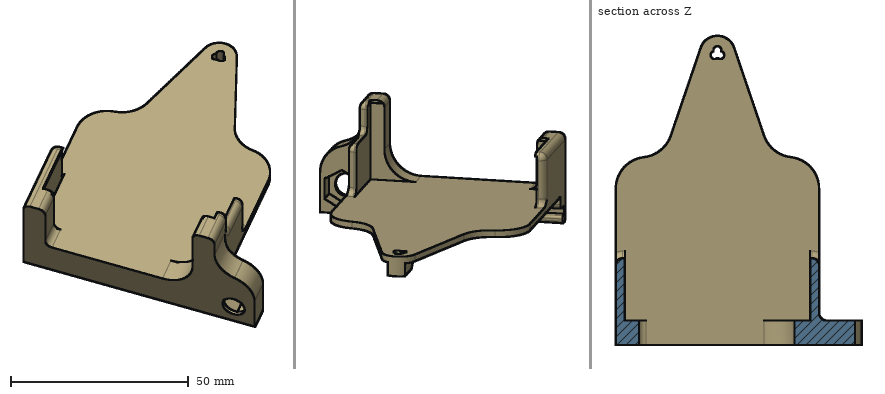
import cadquery as cq
import math

LENGTH = 69.3
DEPTH = 87.08
TALL_TOP = 33.8

TRAY_WIDTH = 57.3
FLOOR_Z = 10.5
PLATE_THICKNESS = 2.0
PLATE_BOTTOM = FLOOR_Z - PLATE_THICKNESS
CENTRE_X = TRAY_WIDTH / 2
TIP_RADIUS = 5.0
TIP_Y = DEPTH - TIP_RADIUS
TAPER_ANGLE = math.radians(18.8)
SHOULDER_Y = 44.0
SHOULDER_RADIUS = 9.0

LOBE_COUNT = 3
LOBE_RADIUS = 1.1
LOBE_OFFSET = 0.9
BOSS_WIDTH = 5.0
LEDGE_Z = 4.7
BOSS_RAMP_Y = 74.2

FRONT_DEPTH = 7.0
POST_WIDTH = 6.6
EDGE_RADIUS = 2.0
LOW_TOP = 25.7
TALL_INNER_RADIUS = 9.0

EAR_CURVE_RADIUS = 8.0
EAR_SIDE_TOP = 11.8
EAR_HOLE_DIAMETER = 6.6
EAR_HOLE_X = 63.0
EAR_HOLE_Z = 6.9
NUT_SIDES = 6
NUT_ACROSS_FLATS = 10.0
NUT_SEAT_Y = 1.2
EAR_BOTTOM_RADIUS = 2.3

RAIL_DEPTH = 6.1
RAIL_RADIUS = 1.5
WEB_DEPTH = 1.95
HOOK_DEPTH = 3.8
HOOK_ROOT_Z = 2.5
HOOK_TIP_Z = 2.1
HOOK_RADIUS = 0.8
FRONT_EDGE_RADIUS = 1.0

WALL_BACK = 24.5
TALL_WALL_BACK = 11.0
RIGHT_LOW_TOP = 24.9
LEFT_LIP_THICKNESS = 3.15
RIGHT_LIP_THICKNESS = 2.8
POCKET_WALL = 2.6
LIP_HEIGHT = 0.9
LIP_OVERHANG = 0.5


def block(x0, x1, y0, y1, z0, z1):
    """Box between two opposite corners."""
    return cq.Workplane("XY").box(x1 - x0, y1 - y0, z1 - z0, centered=False).translate((x0, y0, z0))


def on_circle(centre, radius, angle):
    """Point on a circle at an angle in radians."""
    return (centre[0] + radius * math.cos(angle), centre[1] + radius * math.sin(angle))


def mirrored(point):
    """Mirror a plan point across the tray's centre line."""
    return (TRAY_WIDTH - point[0], point[1])


def make_plate():
    """Floor plate: straight sides, S-shaped shoulders and a tapered neck with a round tip."""
    normal_angle = math.pi - TAPER_ANGLE
    normal = (math.cos(normal_angle), math.sin(normal_angle))
    down = (-math.sin(TAPER_ANGLE), -math.cos(TAPER_ANGLE))
    tip_tangent = on_circle((CENTRE_X, TIP_Y), TIP_RADIUS, normal_angle)
    shoulder = (SHOULDER_RADIUS, SHOULDER_Y)

    reach = 2 * SHOULDER_RADIUS
    start = [tip_tangent[i] + SHOULDER_RADIUS * normal[i] for i in range(2)]
    offset = [start[i] - shoulder[i] for i in range(2)]
    along = offset[0] * down[0] + offset[1] * down[1]
    travel = -along - math.sqrt(along ** 2 - offset[0] ** 2 - offset[1] ** 2 + reach ** 2)
    hollow = [start[i] + travel * down[i] for i in range(2)]

    joint_angle = math.atan2(hollow[1] - shoulder[1], hollow[0] - shoulder[0])
    joint = on_circle(shoulder, SHOULDER_RADIUS, joint_angle)
    shoulder_mid = on_circle(shoulder, SHOULDER_RADIUS, (joint_angle + math.pi) / 2)
    hollow_mid = on_circle(hollow, SHOULDER_RADIUS, (joint_angle - math.pi - TAPER_ANGLE) / 2)
    neck = on_circle(hollow, SHOULDER_RADIUS, -TAPER_ANGLE)

    return (
        cq.Workplane("XY", origin=(0, 0, PLATE_BOTTOM))
        .moveTo(0, 0)
        .lineTo(0, SHOULDER_Y)
        .threePointArc(shoulder_mid, joint)
        .threePointArc(hollow_mid, neck)
        .lineTo(*tip_tangent)
        .threePointArc((CENTRE_X, DEPTH), mirrored(tip_tangent))
        .lineTo(*mirrored(neck))
        .threePointArc(mirrored(hollow_mid), mirrored(joint))
        .threePointArc(mirrored(shoulder_mid), (TRAY_WIDTH, SHOULDER_Y))
        .lineTo(TRAY_WIDTH, 0)
        .close()
        .extrude(PLATE_THICKNESS)
    )


def make_tip_boss():
    """Boss under the tip, ramped at 45 degrees and trimmed to the round tip."""
    ramp = PLATE_BOTTOM - LEDGE_Z
    boss = (
        cq.Workplane("YZ", origin=(CENTRE_X - BOSS_WIDTH / 2, 0, 0))
        .polyline([
            (BOSS_RAMP_Y, PLATE_BOTTOM),
            (DEPTH, PLATE_BOTTOM),
            (DEPTH, LEDGE_Z),
            (BOSS_RAMP_Y + ramp, LEDGE_Z),
        ])
        .close()
        .extrude(BOSS_WIDTH)
    )
    tip_zone = block(0, TRAY_WIDTH, 0, TIP_Y, 0, FLOOR_Z)
    tip_disc = cq.Workplane("XY").center(CENTRE_X, TIP_Y).circle(TIP_RADIUS).extrude(FLOOR_Z)
    return boss.intersect(tip_zone.union(tip_disc))


def make_tip_hole():
    """Three-lobed through hole, one lobe pointing to the tip."""
    hole = cq.Workplane("XY").center(CENTRE_X, TIP_Y).circle(LOBE_OFFSET / 2).extrude(FLOOR_Z)
    for i in range(LOBE_COUNT):
        angle = math.pi / 2 + i * 2 * math.pi / LOBE_COUNT
        lobe_centre = on_circle((CENTRE_X, TIP_Y), LOBE_OFFSET, angle)
        hole = hole.union(cq.Workplane("XY").center(*lobe_centre).circle(LOBE_RADIUS).extrude(FLOOR_Z))
    return hole


def make_front_profile(depth):
    """Front outline: low post, floor, tall post and ear, extruded back from Y = 0."""
    tall_left = TRAY_WIDTH - POST_WIDTH
    half_run = (LENGTH - TRAY_WIDTH) / 2
    sweep = math.acos(1 - half_run / EAR_CURVE_RADIUS)
    rise = EAR_CURVE_RADIUS * math.sin(sweep)
    hollow = (TRAY_WIDTH + EAR_CURVE_RADIUS, EAR_SIDE_TOP + 2 * rise)
    crown = (LENGTH - EAR_CURVE_RADIUS, EAR_SIDE_TOP)
    outline = (
        cq.Workplane("XZ")
        .moveTo(0, 0)
        .lineTo(0, LOW_TOP)
        .lineTo(POST_WIDTH, LOW_TOP)
        .lineTo(POST_WIDTH, FLOOR_Z)
        .lineTo(tall_left, FLOOR_Z)
        .lineTo(tall_left, TALL_TOP)
        .lineTo(TRAY_WIDTH, TALL_TOP)
        .lineTo(TRAY_WIDTH, hollow[1])
        .threePointArc(
            on_circle(hollow, EAR_CURVE_RADIUS, math.pi + sweep / 2),
            on_circle(hollow, EAR_CURVE_RADIUS, math.pi + sweep),
        )
        .threePointArc(on_circle(crown, EAR_CURVE_RADIUS, sweep / 2), (LENGTH, EAR_SIDE_TOP))
        .lineTo(LENGTH, 0)
        .close()
        .extrude(-depth)
    )
    corners = [
        (0, LOW_TOP, EDGE_RADIUS),
        (POST_WIDTH, LOW_TOP, EDGE_RADIUS),
        (POST_WIDTH, FLOOR_Z, EDGE_RADIUS),
        (tall_left, FLOOR_Z, TALL_INNER_RADIUS),
        (tall_left, TALL_TOP, EDGE_RADIUS),
        (TRAY_WIDTH, TALL_TOP, EDGE_RADIUS),
    ]
    for x, z, radius in corners:
        corner_edge = cq.selectors.NearestToPointSelector((x, depth / 2, z))
        outline = outline.edges("|Y").edges(corner_edge).fillet(radius)
    return outline


def make_flange_section():
    """Side section of the flange with the hooked rail groove, swept along X."""
    section = (
        cq.Workplane("YZ")
        .polyline([
            (0, 0),
            (0, TALL_TOP),
            (FRONT_DEPTH, TALL_TOP),
            (FRONT_DEPTH, PLATE_BOTTOM),
            (RAIL_DEPTH, PLATE_BOTTOM),
            (RAIL_DEPTH, LEDGE_Z),
            (WEB_DEPTH, LEDGE_Z),
            (WEB_DEPTH, HOOK_ROOT_Z),
            (HOOK_DEPTH, HOOK_TIP_Z),
            (HOOK_DEPTH, 0),
        ])
        .close()
        .extrude(LENGTH)
    )
    corners = [
        (0, 0, FRONT_EDGE_RADIUS),
        (RAIL_DEPTH, LEDGE_Z, RAIL_RADIUS),
        (HOOK_DEPTH, HOOK_TIP_Z, HOOK_RADIUS),
        (HOOK_DEPTH, 0, HOOK_RADIUS),
    ]
    for y, z, radius in corners:
        corner_edge = cq.selectors.NearestToPointSelector((LENGTH / 2, y, z))
        section = section.edges("|X").edges(corner_edge).fillet(radius)
    return section


def make_front():
    """Front flange: grooved below the tray, solid below the ear."""
    ear_block = block(TRAY_WIDTH, LENGTH, 0, FRONT_DEPTH, 0, TALL_TOP)
    ear_block = ear_block.edges("|Y and <X and <Z").fillet(EAR_BOTTOM_RADIUS)
    ear_block = ear_block.edges("|X and <Y and <Z").fillet(FRONT_EDGE_RADIUS)
    return make_front_profile(FRONT_DEPTH).intersect(make_flange_section().union(ear_block))


def make_post_lips():
    """Rear strips of both posts; the pocket leaves only their overhanging tops."""
    depth = FRONT_DEPTH + LIP_OVERHANG
    return make_front_profile(depth).intersect(block(0, TRAY_WIDTH, 0, depth, FLOOR_Z, TALL_TOP))


def make_ear_fillet():
    """Concave fillet between the back of the ear and the right wall."""
    size = EDGE_RADIUS
    corner = block(TRAY_WIDTH, TRAY_WIDTH + size, FRONT_DEPTH, FRONT_DEPTH + size, PLATE_BOTTOM, TALL_TOP)
    roller = (
        cq.Workplane("XY")
        .center(TRAY_WIDTH + size, FRONT_DEPTH + size)
        .circle(size)
        .extrude(TALL_TOP)
    )
    return corner.cut(roller).intersect(make_front_profile(FRONT_DEPTH + size))


def make_wall_foot(thickness):
    """Concave foot where the rounded back end of a wall (outer face at X = 0) meets the floor."""
    radius = EDGE_RADIUS
    reach = 2 * radius
    pivot_y = WALL_BACK - radius
    profile = (
        cq.Workplane("XZ", origin=(radius, pivot_y, FLOOR_Z))
        .lineTo(reach, 0)
        .radiusArc((radius, radius), radius)
        .lineTo(0, radius)
        .close()
    )
    turned = profile.revolve(360, (0, 0, 0), (0, 1, 0))
    turned = turned.intersect(block(0, radius, pivot_y, WALL_BACK + radius, FLOOR_Z, LOW_TOP))
    straight = (
        cq.Workplane("YZ", origin=(radius, pivot_y, FLOOR_Z))
        .lineTo(reach, 0)
        .radiusArc((radius, radius), radius)
        .lineTo(0, radius)
        .close()
        .extrude(thickness - radius)
    )
    return turned.union(straight)


def make_left_wall():
    """Left wall with its top, back and outer edges rounded."""
    wall = block(0, LEFT_LIP_THICKNESS, 0, WALL_BACK, PLATE_BOTTOM, LOW_TOP)
    rounded = wall.edges("(<X and >Z) or (<X and >Y) or (>Y and >Z)").fillet(EDGE_RADIUS)
    return rounded.union(make_wall_foot(POCKET_WALL))


def make_right_wall():
    """Right wall, stepped down from the tall post, with one rounded outer rim."""
    inner = TRAY_WIDTH - RIGHT_LIP_THICKNESS
    wall = (
        cq.Workplane("YZ", origin=(inner, 0, 0))
        .polyline([
            (0, PLATE_BOTTOM),
            (0, TALL_TOP),
            (TALL_WALL_BACK, TALL_TOP),
            (TALL_WALL_BACK, RIGHT_LOW_TOP),
            (WALL_BACK, RIGHT_LOW_TOP),
            (WALL_BACK, PLATE_BOTTOM),
        ])
        .close()
        .extrude(RIGHT_LIP_THICKNESS)
    )
    rounded = wall.edges("((|X or >X) exc <Y) exc <Z").fillet(EDGE_RADIUS)
    foot = make_wall_foot(POCKET_WALL).mirror("YZ").translate((TRAY_WIDTH, 0, 0))
    return rounded.union(foot)


def make_pocket():
    """Clearance between walls and posts, lower on the left than on the right."""
    right = TRAY_WIDTH - POCKET_WALL
    left_part = block(POCKET_WALL, CENTRE_X, FRONT_DEPTH, DEPTH, FLOOR_Z, LOW_TOP - LIP_HEIGHT)
    right_part = block(CENTRE_X, right, FRONT_DEPTH, DEPTH, FLOOR_Z, TALL_TOP - LIP_HEIGHT)
    return left_part.union(right_part)


def make_ear_hole():
    """Screw hole through the ear, with a hexagonal nut recess open to the back, flats upright."""
    screw = (
        cq.Workplane("XZ")
        .center(EAR_HOLE_X, EAR_HOLE_Z)
        .circle(EAR_HOLE_DIAMETER / 2)
        .extrude(-FRONT_DEPTH)
    )
    across_corners = NUT_ACROSS_FLATS / math.cos(math.pi / NUT_SIDES)
    nut = (
        cq.Workplane("XZ", origin=(EAR_HOLE_X, NUT_SEAT_Y, EAR_HOLE_Z))
        .transformed(rotate=(0, 0, 180 / NUT_SIDES))
        .polygon(NUT_SIDES, across_corners)
        .extrude(NUT_SEAT_Y - FRONT_DEPTH)
    )
    return screw.union(nut)


def make_part():
    part = make_plate().union(make_tip_boss()).union(make_front()).union(make_post_lips())
    part = part.union(make_left_wall()).union(make_right_wall()).union(make_ear_fillet())
    return part.cut(make_pocket()).cut(make_tip_hole()).cut(make_ear_hole())


result = make_part()